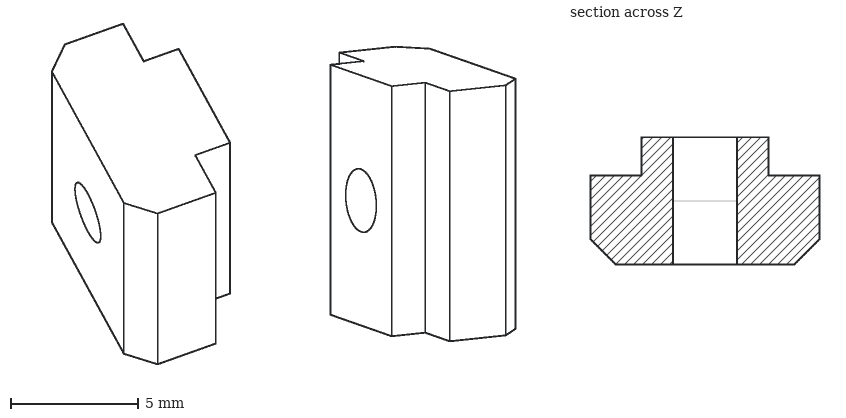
import cadquery as cq

body_width = 9.0
total_depth = 5.0
length = 10.0

neck_width = 5.0
neck_depth = 1.5
chamfer = 1.0
hole_diameter = 2.5

front_y = -total_depth / 2
back_y = total_depth / 2
shoulder_y = back_y - neck_depth
half_body = body_width / 2
half_neck = neck_width / 2


def make_body():
    """Extrude the T-shaped profile, chamfered at its two front corners, along Z."""
    profile = [
        (-half_body + chamfer, front_y),
        (half_body - chamfer, front_y),
        (half_body, front_y + chamfer),
        (half_body, shoulder_y),
        (half_neck, shoulder_y),
        (half_neck, back_y),
        (-half_neck, back_y),
        (-half_neck, shoulder_y),
        (-half_body, shoulder_y),
        (-half_body, front_y + chamfer),
    ]
    return cq.Workplane("XY").polyline(profile).close().extrude(length / 2, both=True)


def make_hole():
    """Cylinder through the centre of the part along Y."""
    return cq.Workplane("XZ").circle(hole_diameter / 2).extrude(total_depth, both=True)


result = make_body().cut(make_hole())